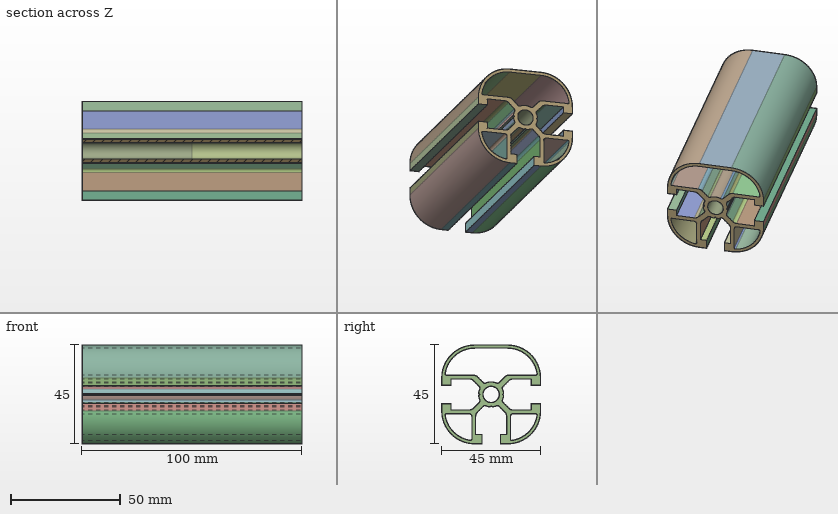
import cadquery as cq
import math

length = 100.0
side = 45.0
half_side = side / 2
corner_radius = 15.0
skin = 1.5

slot_opening = 8.3
slot_width = 14.0
lip_depth = 4.3
slot_wall = 1.8
slot_bend_radius = 2.5

bore_diameter = 7.3
hub_radius = 5.75
web_thickness = 2.6
web_root_radius = 1.0
notch_width = 1.1
notch_depth = 0.5

chamber_corner_radius = 1.25
chamber_tip_radius = 0.6
chamber_bend_radius = 2.8

wall_outer = slot_width / 2 + slot_wall
half_web = web_thickness / 2
web_offset = half_web * math.sqrt(2)
inner_half = half_side - skin
inner_radius = corner_radius - skin
arc_centre = half_side - corner_radius
chamber_tip = arc_centre + math.sqrt(inner_radius**2 - (wall_outer - arc_centre) ** 2)


def bar(profile):
    """Extrude a closed YZ profile over the full length."""
    return profile.extrude(length / 2, both=True)


def block(width, bottom, top):
    """Full-length block centred on Y = 0 and spanning Z from bottom to top."""
    return bar(cq.Workplane("YZ").center(0, (bottom + top) / 2).rect(width, top - bottom))


def turned(shape, angle):
    """Turn a shape about the X axis; +90 degrees takes +Y to +Z."""
    return shape.rotate((0, 0, 0), (1, 0, 0), angle)


def polar(radius, angle):
    """Point or offset at a radius and an angle in radians."""
    return (radius * math.cos(angle), radius * math.sin(angle))


def rounded_square(size, radius):
    """Full-length square bar with its four long edges rounded."""
    return bar(cq.Workplane("YZ").rect(size, size)).edges("|X").fillet(radius)


def web_valley(outer_half):
    """Void between two webs, opening toward +Z, from the hub up to a half width.

    Each web face blends into the hub through an arc tangent to both.
    """
    web_angle = math.radians(45)
    face_direction = web_angle - math.radians(90)
    root_reach = hub_radius + web_root_radius
    root_angle = web_angle + math.asin((half_web + web_root_radius) / root_reach)
    root_y, root_z = polar(root_reach, root_angle)
    hub_y, hub_z = polar(hub_radius, root_angle)
    face_dy, face_dz = polar(web_root_radius, face_direction)
    face_y = root_y + face_dy
    face_z = root_z + face_dz
    mid_angle = (root_angle - math.radians(180) + face_direction) / 2
    mid_dy, mid_dz = polar(web_root_radius, mid_angle)
    mid_y = root_y + mid_dy
    mid_z = root_z + mid_dz
    top = outer_half + web_offset
    return bar(
        cq.Workplane("YZ")
        .moveTo(outer_half, top)
        .lineTo(face_y, face_z)
        .threePointArc((mid_y, mid_z), (hub_y, hub_z))
        .threePointArc((0, hub_radius), (-hub_y, hub_z))
        .threePointArc((-mid_y, mid_z), (-face_y, face_z))
        .lineTo(-outer_half, top)
        .close()
    )


def edge_near(shape, y, z):
    """The lengthwise edge through (y, z)."""
    return shape.edges("|X").edges(cq.selectors.NearestToPointSelector((0, y, z)))


def round_pair(shape, y, z, radius):
    """Round the lengthwise edges at (+y, z) and (-y, z)."""
    for edge_y in (y, -y):
        shape = edge_near(shape, edge_y, z).fillet(radius)
    return shape


def t_slot():
    """T-slot void opening toward +Z, with a V notch in the hub below it."""
    half_width = slot_width / 2
    floor = half_width + web_offset
    ceiling = half_side - lip_depth
    void = block(slot_width, floor, ceiling).union(web_valley(half_width))
    void = round_pair(void, half_width, floor, slot_bend_radius)
    mouth = block(slot_opening, ceiling, half_side)
    notch = bar(
        cq.Workplane("YZ")
        .moveTo(-notch_width / 2, hub_radius)
        .lineTo(0, hub_radius - notch_depth)
        .lineTo(notch_width / 2, hub_radius)
        .close()
    )
    return void.union(mouth).union(notch)


def corner_chamber():
    """Chamber between two slot walls and the rounded skin, in the +Y +Z corner."""
    above_wall = block(side, wall_outer, half_side)
    beside_wall = turned(above_wall, -90)
    void = rounded_square(2 * inner_half, inner_radius).intersect(above_wall).intersect(beside_wall)
    void = edge_near(void, wall_outer, wall_outer).fillet(chamber_corner_radius)
    void = edge_near(void, chamber_tip, wall_outer).fillet(chamber_tip_radius)
    return edge_near(void, wall_outer, chamber_tip).fillet(chamber_tip_radius)


def wide_chamber():
    """Chamber across the closed +Z side, reaching down between the webs to the hub."""
    above_wall = block(side, wall_outer, half_side)
    void = rounded_square(2 * inner_half, inner_radius).intersect(above_wall)
    void = round_pair(void, chamber_tip, wall_outer, chamber_tip_radius)
    bend_y = wall_outer - web_offset
    void = void.union(web_valley(bend_y))
    return round_pair(void, bend_y, wall_outer, chamber_bend_radius)


slot_angles = (90, 180, 270)
chamber_angles = (180, 270)

result = rounded_square(side, corner_radius)
for slot_angle in slot_angles:
    result = result.cut(turned(t_slot(), slot_angle))
for chamber_angle in chamber_angles:
    result = result.cut(turned(corner_chamber(), chamber_angle))
result = result.cut(wide_chamber())
result = result.cut(bar(cq.Workplane("YZ").circle(bore_diameter / 2)))